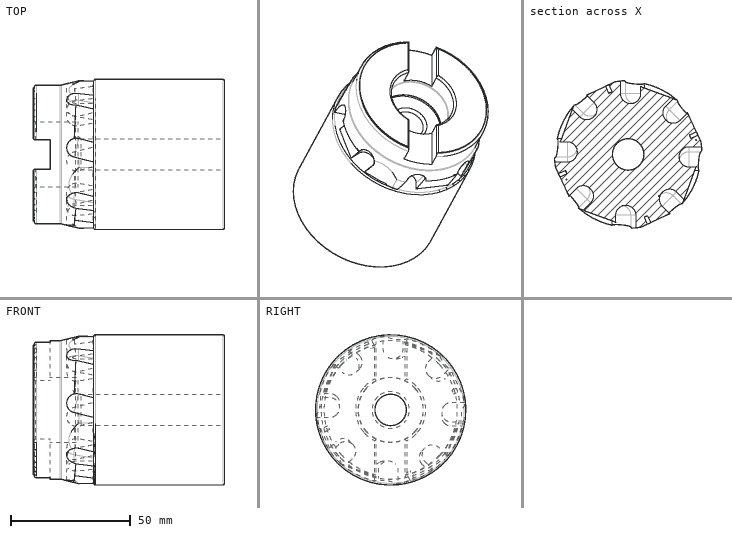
import cadquery as cq

length = 80.0

nose_diameter = 58.0
nose_lip_diameter = 55.7
nose_lip_length = 0.5
nose_edge_radius = 0.95
cone_start = 11.6
cone_end = 19.2
collar_diameter = 61.75
sleeve_start = 25.35
sleeve_diameter = 62.9
sleeve_edge_radius = 0.7
blend_radius = 2.1

mouth_diameter = 29.2
mouth_chamfer = 0.95
bore_entry_diameter = 27.3
bore_entry_depth = 8.0
bore_step_length = 0.4
bore_diameter = 27.0
undercut_diameter = 27.3
undercut_start = 17.8
bore_depth = 18.9
through_diameter = 13.0
through_chamfer = 1.2

slot_width = 12.15
slot_depth = 7.1
slot_chamfer = 0.6

groove_count = 8
flat_count = 4

groove_radius = 4.0
groove_slant = 14.0
groove_end_x = 18.1
groove_offset = 2.8
groove_centre_height = 25.35

flat_angle = -25.0
flat_height = 29.8
flat_half_width = 9.6

pin_hole_diameter = 2.5
pin_hole_x = 26.2
pin_hole_offset = 4.2
pin_hole_depth = 3.2

pocket_angle = 20.0
pocket_end_x = 17.4
pocket_height = 28.2
pocket_slope = 2.0
pocket_skew = 2.3
pocket_side_low = 7.2
pocket_side_high = 12.8

overcut = 9.6
cutter_run = 20.0


def turned(points):
    """Revolve an (x, radius) outline about the X axis."""
    return cq.Workplane("XY").polyline(points).close().revolve(360, (0, 0, 0), (1, 0, 0))


def around_axis(cutter, angle):
    """Turn a cutter that faces -Y up towards +Z by the angle."""
    return cutter.rotate((0, 0, 0), (1, 0, 0), -angle)


def cut_pattern(body, cutter, first_angle, count):
    for i in range(count):
        body = body.cut(around_axis(cutter, first_angle + i * 360.0 / count))
    return body


def nose_and_collar():
    nose_radius = nose_diameter / 2
    collar_radius = collar_diameter / 2
    body = turned([
        (nose_lip_length, 0),
        (nose_lip_length, nose_radius),
        (cone_start, nose_radius),
        (cone_end, collar_radius),
        (sleeve_start, collar_radius),
        (sleeve_start, 0),
    ])
    body = body.faces("<X").edges().fillet(nose_edge_radius)
    cone_edge = cq.selectors.NearestToPointSelector((cone_start, 0, 0))
    body = body.edges("%CIRCLE").edges(cone_edge).fillet(blend_radius)
    lip = cq.Workplane("YZ").circle(nose_lip_diameter / 2).extrude(nose_lip_length)
    return body.union(lip)


def sleeve():
    plane = cq.Workplane("YZ", origin=(sleeve_start, 0, 0))
    body = plane.circle(sleeve_diameter / 2).extrude(length - sleeve_start)
    return body.edges("%CIRCLE").fillet(sleeve_edge_radius)


def groove_cutter():
    """Cutter for a groove facing -Y: rounded floor, straight walls and a rounded end."""
    reach = sleeve_diameter / 2 + overcut - groove_centre_height
    ball = cq.Workplane("XY").sphere(groove_radius)
    round_floor = cq.Workplane("YZ").circle(groove_radius).extrude(cutter_run)
    round_end = cq.Workplane("XZ").circle(groove_radius).extrude(reach)
    walls = cq.Workplane("XZ").rect(cutter_run, 2 * groove_radius).extrude(reach)
    walls = walls.translate((cutter_run / 2, 0, 0))
    cutter = walls.union(round_end).union(round_floor).union(ball)
    cutter = cutter.rotate((0, 0, 0), (0, 1, 0), groove_slant)
    return cutter.translate((groove_end_x, -groove_centre_height, groove_offset))


def flat_cutter():
    return cq.Workplane("XY").box(length, overcut, 2 * flat_half_width).translate(
        (sleeve_start, -flat_height - overcut / 2, 0)
    )


def pin_hole_cutter():
    plane = cq.Workplane("XZ", origin=(pin_hole_x, -flat_height, pin_hole_offset))
    return plane.circle(pin_hole_diameter / 2).extrude(-pin_hole_depth)


def pocket_cutter():
    side = pocket_side_low + pocket_side_high
    cutter = cq.Workplane("XY").box(cutter_run, overcut, side).translate(
        (cutter_run / 2, -overcut / 2, (pocket_side_high - pocket_side_low) / 2)
    )
    cutter = cutter.rotate((0, 0, 0), (0, 1, 0), pocket_skew)
    cutter = cutter.rotate((0, 0, 0), (0, 0, 1), -pocket_slope)
    return cutter.translate((pocket_end_x, -pocket_height, 0))


def bore_cutter():
    through_radius = through_diameter / 2
    return turned([
        (0, 0),
        (0, mouth_diameter / 2),
        (mouth_chamfer, bore_entry_diameter / 2),
        (bore_entry_depth, bore_entry_diameter / 2),
        (bore_entry_depth + bore_step_length, bore_diameter / 2),
        (undercut_start, bore_diameter / 2),
        (undercut_start, undercut_diameter / 2),
        (bore_depth, undercut_diameter / 2),
        (bore_depth, through_radius + through_chamfer),
        (bore_depth + through_chamfer, through_radius),
        (length, through_radius),
        (length, 0),
    ])


def slot_cutter():
    half = slot_width / 2
    outline = [
        (0, half + slot_chamfer),
        (slot_chamfer, half),
        (slot_depth, half),
        (slot_depth, -half),
        (slot_chamfer, -half),
        (0, -half - slot_chamfer),
    ]
    return cq.Workplane("XY").polyline(outline).close().extrude(nose_diameter, both=True)


body = nose_and_collar()
body = cut_pattern(body, flat_cutter(), flat_angle, flat_count)
body = cut_pattern(body, pocket_cutter(), pocket_angle, flat_count)
body = cut_pattern(body, pin_hole_cutter(), flat_angle, flat_count)
body = cut_pattern(body, groove_cutter(), 0, groove_count)
body = body.union(sleeve())
body = body.cut(bore_cutter())
result = body.cut(slot_cutter())